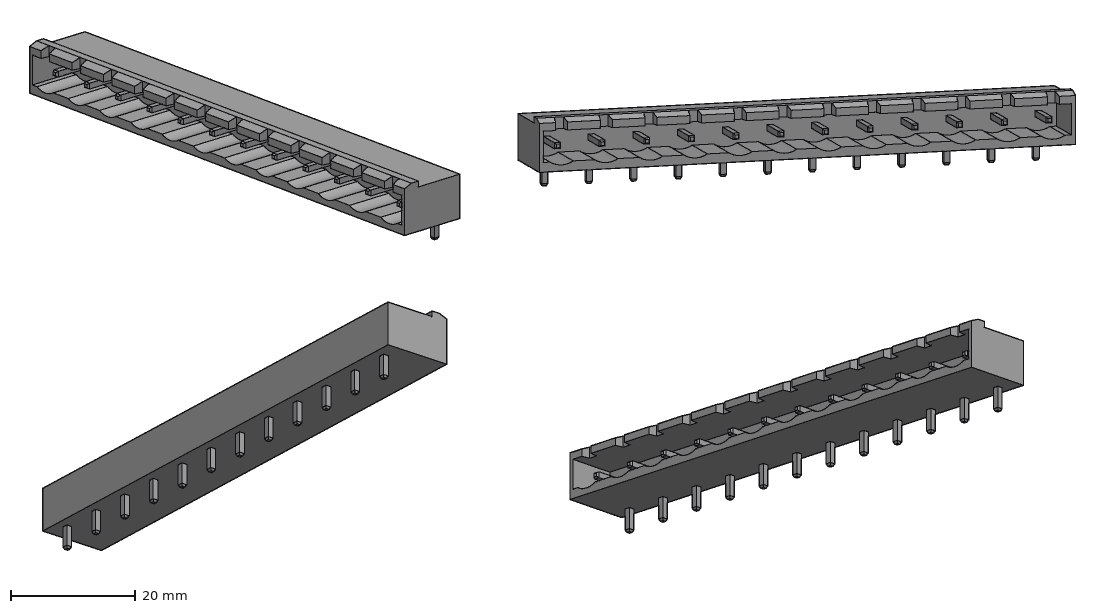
import cadquery as cq
import math

PIN_COUNT = 12
PIN_PITCH = 7.5
LENGTH = PIN_COUNT * PIN_PITCH
DEPTH = 12.0
BODY_HEIGHT = 7.6

LIP_HEIGHT = 8.6
LIP_DEPTH = 3.0
SLOPE_DEPTH = 1.5
SLOPE_DROP = 0.6

END_WALL = 0.7
FLOOR = 1.6
CEILING = 6.7
CAVITY_DEPTH = 8.5

GROOVE_WIDTH = 3.9
GROOVE_SAG = 0.55

NOTCH_BACK_WIDTH = 1.5
NOTCH_FRONT_WIDTH = 2.0

PIN_SIZE = 1.0
PIN_TIP_SIZE = 0.6
PIN_TIP_LENGTH = 0.4
PIN_HEIGHT = 3.8
PIN_FRONT_Y = 2.0
TAIL_BACK_OFFSET = 2.1
TAIL_Y = DEPTH - TAIL_BACK_OFFSET
TAIL_LENGTH = 4.0

PIN_POSITIONS = [(i - (PIN_COUNT - 1) / 2) * PIN_PITCH for i in range(PIN_COUNT)]


def make_housing():
    """Extrude the end profile, with its raised and sloped front lip, along X."""
    profile = [
        (0, 0),
        (DEPTH, 0),
        (DEPTH, BODY_HEIGHT),
        (LIP_DEPTH, BODY_HEIGHT),
        (LIP_DEPTH, LIP_HEIGHT),
        (SLOPE_DEPTH, LIP_HEIGHT),
        (0, LIP_HEIGHT - SLOPE_DROP),
    ]
    return cq.Workplane("YZ").polyline(profile).close().extrude(LENGTH / 2, both=True)


def front_prism(sketch, depth):
    """Extrude a closed XZ outline from the front face into the housing."""
    return sketch.extrude(-depth)


def make_cavity():
    """Rectangular mating cavity open at the front."""
    half_length = LENGTH / 2 - END_WALL
    corners = [
        (-half_length, FLOOR),
        (half_length, FLOOR),
        (half_length, CEILING),
        (-half_length, CEILING),
    ]
    return front_prism(cq.Workplane("XZ").polyline(corners).close(), CAVITY_DEPTH)


def make_groove(x):
    """Shallow arc-section groove along the cavity floor."""
    half_width = GROOVE_WIDTH / 2
    arc = (
        cq.Workplane("XZ")
        .moveTo(x - half_width, FLOOR)
        .threePointArc((x, FLOOR - GROOVE_SAG), (x + half_width, FLOOR))
        .close()
    )
    return front_prism(arc, CAVITY_DEPTH)


def make_notch(x):
    """Flared notch that opens the sloped part of the lip into the cavity."""
    half_back = NOTCH_BACK_WIDTH / 2
    half_front = NOTCH_FRONT_WIDTH / 2
    corners = [
        (x - half_front, 0),
        (x + half_front, 0),
        (x + half_back, SLOPE_DEPTH),
        (x - half_back, SLOPE_DEPTH),
    ]
    outline = cq.Workplane("XY").workplane(offset=CEILING).polyline(corners).close()
    return outline.extrude(LIP_HEIGHT - CEILING)


def make_bar(plane, length):
    """Square bar along the plane normal, ending in a tapered tip."""
    shank_length = length - PIN_TIP_LENGTH
    taper = math.degrees(math.atan((PIN_SIZE - PIN_TIP_SIZE) / 2 / PIN_TIP_LENGTH))
    shank = cq.Workplane(plane).rect(PIN_SIZE, PIN_SIZE).extrude(shank_length)
    tip_base = cq.Workplane(plane).workplane(offset=shank_length).rect(PIN_SIZE, PIN_SIZE)
    return shank.union(tip_base.extrude(PIN_TIP_LENGTH, taper=taper))


def make_pin(x):
    """Right-angle pin: contact pointing to -Y and solder tail pointing to -Z."""
    bend = cq.Vector(x, TAIL_Y, PIN_HEIGHT)
    contact = make_bar(cq.Plane(bend, (1, 0, 0), (0, -1, 0)), TAIL_Y - PIN_FRONT_Y)
    tail = make_bar(cq.Plane(bend, (1, 0, 0), (0, 0, -1)), PIN_HEIGHT + TAIL_LENGTH)
    return contact.union(tail)


result = make_housing().cut(make_cavity())
for pin_x in PIN_POSITIONS:
    result = result.cut(make_groove(pin_x)).cut(make_notch(pin_x))
for pin_x in PIN_POSITIONS:
    result = result.union(make_pin(pin_x))